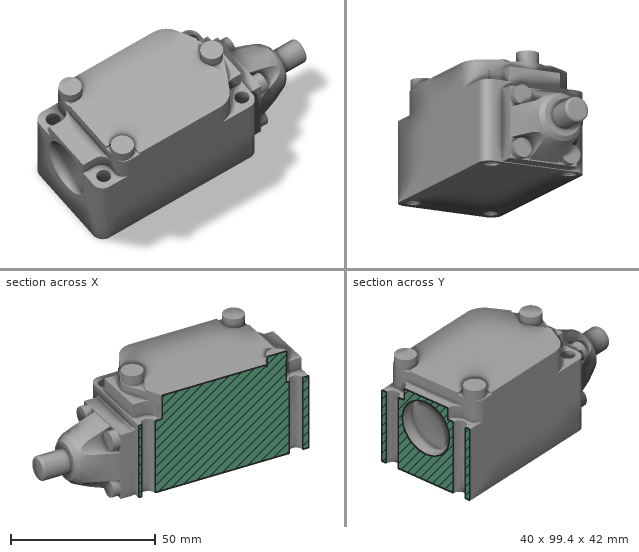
import cadquery as cq
import math


width = 40.0
length = 67.8
base_height = 29.3
corner_radius = 4.0
half_width = width / 2

mount_hole_diameter = 5.2
mount_hole_spacing_x = 30.2
mount_hole_spacing_y = 58.8
front_hole_y = 5.1

rib_width = 20.0
front_rib_height = 34.0
rear_rib_height = 34.9
rear_rib_setback = 0.6
rear_rib_end = length - rear_rib_setback
relief_radius = 4.0
front_relief_y = 5.0
rear_relief_y = 63.5

cable_entry_diameter = 21.0
cable_entry_depth = 10.2
cable_entry_z = 21.6

cover_top = 38.8
cover_front = 9.0
cover_front_radius = 3.5
cover_side_radius = 8.0
cover_slope = math.radians(28.0)

screw_diameter = 8.0
screw_seat_z = 38.0
screw_top = 42.0
front_screw_x = 15.6
front_screw_y = 12.7
rear_screw_y = 61.8
recess_radius = 4.2
recess_inner_x = 11.0

head_z = 13.1
pad_size = 26.2
pad_rise = 0.3
pad_thickness = 1.0
flange_size = 26.0
flange_thickness = 4.8
flange_start = length + pad_thickness
flange_end = flange_start + flange_thickness
nose_end = 88.6
nose_base_size = 25.2
nose_tip_radius = 8.6
nose_chamfer = 1.5
nose_shoulder = nose_end - nose_chamfer

head_screw_diameter = 7.0
head_screw_height = 3.0
head_screw_offset = 9.5
notch_radius = 4.0
notch_inner = head_screw_offset - notch_radius

plunger_diameter = 9.0
plunger_end = 99.4
plunger_fillet = 1.0


def box(x_min, x_max, y_min, y_max, z_min, z_max):
    """Box between the given limits."""
    size = (x_max - x_min, y_max - y_min, z_max - z_min)
    return cq.Workplane("XY").box(*size, centered=False).translate((x_min, y_min, z_min))


def rear_plane(y):
    """Sketch plane facing +Y, centred on the head axis at the given Y."""
    return cq.Workplane("XZ", origin=(0, y, head_z)).transformed(rotate=(0, 180, 0))


def base():
    """Rectangular block with rounded vertical edges."""
    block = box(-half_width, half_width, 0, length, 0, base_height)
    return block.edges("|Z").fillet(corner_radius)


def end_rib(end_y, relief_y, top):
    """Rib from an end of the housing into the cover, flared by a concave arc on each side."""
    inward = math.copysign(1, relief_y - end_y)
    half_rib = rib_width / 2
    flare_x = half_rib + relief_radius
    flare_y = relief_y + inward * relief_radius
    inner_y = flare_y + inward * relief_radius
    bulge = relief_radius * (1 - math.sqrt(0.5))
    bend_x = half_rib + bulge
    bend_y = flare_y - inward * bulge
    return (
        cq.Workplane("XY", origin=(0, 0, base_height))
        .moveTo(-half_rib, end_y)
        .lineTo(half_rib, end_y)
        .lineTo(half_rib, relief_y)
        .threePointArc((bend_x, bend_y), (flare_x, flare_y))
        .lineTo(flare_x, inner_y)
        .lineTo(-flare_x, inner_y)
        .lineTo(-flare_x, flare_y)
        .threePointArc((-bend_x, bend_y), (-half_rib, relief_y))
        .close()
        .extrude(top - base_height)
    )


def cover():
    """Raised cover with a rounded gable at the rear and rounded front corners."""
    normal_x = math.sin(cover_slope)
    normal_y = math.cos(cover_slope)
    side_x = half_width - cover_side_radius
    side_y = rear_screw_y + (recess_radius - cover_side_radius - normal_x * side_x) / normal_y
    slope_start = (side_x + cover_side_radius * normal_x, side_y + cover_side_radius * normal_y)
    slope_end = (recess_radius * normal_x, rear_screw_y + recess_radius * normal_y)
    mid_angle = (math.pi / 2 - cover_slope) / 2
    side_mid = (
        side_x + cover_side_radius * math.cos(mid_angle),
        side_y + cover_side_radius * math.sin(mid_angle),
    )
    outline = (
        cq.Workplane("XY", origin=(0, 0, base_height))
        .moveTo(half_width, cover_front)
        .lineTo(half_width, side_y)
        .threePointArc(side_mid, slope_start)
        .lineTo(*slope_end)
        .threePointArc((0, rear_screw_y + recess_radius), (-slope_end[0], slope_end[1]))
        .lineTo(-slope_start[0], slope_start[1])
        .threePointArc((-side_mid[0], side_mid[1]), (-half_width, side_y))
        .lineTo(-half_width, cover_front)
        .close()
    )
    block = outline.extrude(cover_top - base_height)
    return block.edges("|Z and <Y").fillet(cover_front_radius)


def rear_recess():
    """Lozenge recess around the rear screw, with rounded ends on the centre line."""
    tangent_x = recess_radius * math.sin(cover_slope)
    tangent_y = recess_radius * math.cos(cover_slope)
    tip_x = recess_radius / math.sin(cover_slope)
    return (
        cq.Workplane("XY", origin=(0, rear_screw_y, screw_seat_z))
        .moveTo(tip_x, 0)
        .lineTo(tangent_x, tangent_y)
        .threePointArc((0, recess_radius), (-tangent_x, tangent_y))
        .lineTo(-tip_x, 0)
        .lineTo(-tangent_x, -tangent_y)
        .threePointArc((0, -recess_radius), (tangent_x, -tangent_y))
        .close()
        .extrude(cover_top - screw_seat_z)
    )


def front_recess(side):
    """Open corner recess around a front screw; side is -1 or +1 along X."""
    x_limits = sorted((side * recess_inner_x, side * half_width))
    block = box(*x_limits, 0, front_screw_y + recess_radius, screw_seat_z, cover_top)
    inner_edge = "|Z and >Y and <X" if side > 0 else "|Z and >Y and >X"
    return block.edges(inner_edge).fillet(recess_radius)


def make_housing():
    """Base, ribs, cover, cover screws and the pad that carries the head."""
    body = base().union(cover())
    body = body.cut(rear_recess())
    for side in (-1, 1):
        body = body.cut(front_recess(side))
    body = body.union(end_rib(0, front_relief_y, front_rib_height))
    body = body.union(end_rib(rear_rib_end, rear_relief_y, rear_rib_height))

    screw_places = [
        (-front_screw_x, front_screw_y),
        (front_screw_x, front_screw_y),
        (0, rear_screw_y),
    ]
    screws = (
        cq.Workplane("XY", origin=(0, 0, screw_seat_z))
        .pushPoints(screw_places)
        .circle(screw_diameter / 2)
        .extrude(screw_top - screw_seat_z)
    )
    body = body.union(screws)

    pad = rear_plane(length).center(0, pad_rise).rect(pad_size, pad_size).extrude(pad_thickness)
    body = body.union(pad)

    mount_holes = (
        cq.Workplane("XY", origin=(0, front_hole_y + mount_hole_spacing_y / 2, 0))
        .rarray(mount_hole_spacing_x, mount_hole_spacing_y, 2, 2)
        .circle(mount_hole_diameter / 2)
        .extrude(base_height)
    )
    cable_entry = (
        cq.Workplane("XZ", origin=(0, 0, cable_entry_z))
        .circle(cable_entry_diameter / 2)
        .extrude(-cable_entry_depth)
    )
    return body.cut(mount_holes).cut(cable_entry)


def nose_taper():
    """Taper from a square at the flange to a circle at the shoulder of the nose."""
    half_base = nose_base_size / 2
    diagonal = nose_tip_radius * math.sqrt(0.5)
    square = (
        rear_plane(flange_end)
        .moveTo(half_base, half_base)
        .lineTo(-half_base, half_base)
        .lineTo(-half_base, -half_base)
        .lineTo(half_base, -half_base)
        .close()
    )
    circle = (
        rear_plane(nose_shoulder)
        .moveTo(diagonal, diagonal)
        .threePointArc((0, nose_tip_radius), (-diagonal, diagonal))
        .threePointArc((-nose_tip_radius, 0), (-diagonal, -diagonal))
        .threePointArc((0, -nose_tip_radius), (diagonal, -diagonal))
        .threePointArc((nose_tip_radius, 0), (diagonal, diagonal))
        .close()
    )
    return cq.Workplane(cq.Solid.makeLoft([square.val(), circle.val()], True))


def nose_tip():
    """Chamfered end of the nose."""
    return cq.Workplane(
        cq.Solid.makeCone(
            nose_tip_radius,
            nose_tip_radius - nose_chamfer,
            nose_chamfer,
            pnt=cq.Vector(0, nose_shoulder, head_z),
            dir=cq.Vector(0, 1, 0),
        )
    )


def nose_notch():
    """Square corner of the +X, +Z quarter of the nose, with a rounded inner edge."""
    outer = flange_size / 2
    block = box(notch_inner, outer, flange_end, nose_end, head_z + notch_inner, head_z + outer)
    return block.edges("|Y and <X and <Z").fillet(notch_radius)


def make_head():
    """Square flange with a chamfered tapering nose and four screw heads in corner notches."""
    flange = rear_plane(flange_start).rect(flange_size, flange_size).extrude(flange_thickness)
    nose = nose_taper().union(nose_tip())
    for quarter_turn in range(4):
        nose = nose.cut(nose_notch().rotate((0, 0, head_z), (0, 1, head_z), 90 * quarter_turn))
    screws = (
        rear_plane(flange_end)
        .rarray(2 * head_screw_offset, 2 * head_screw_offset, 2, 2)
        .circle(head_screw_diameter / 2)
        .extrude(head_screw_height)
    )
    return flange.union(nose).union(screws)


def make_plunger():
    """Round plunger standing on the nose, with a rounded end."""
    rod = rear_plane(nose_end).circle(plunger_diameter / 2).extrude(plunger_end - nose_end)
    return rod.faces(">Y").edges().fillet(plunger_fillet)


housing = make_housing()
head = make_head()
plunger = make_plunger()

result = cq.Compound.makeCompound([housing.val(), head.val(), plunger.val()])